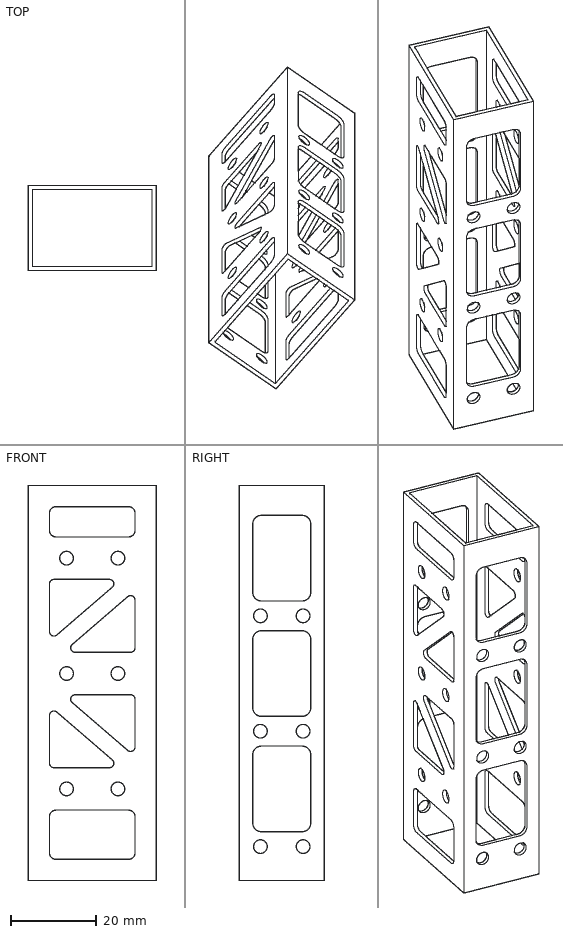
import cadquery as cq

WIDTH = 30.0
DEPTH = 20.0
HEIGHT = 92.5
WALL = 1.0

HOLE_DIAMETER = 3.1
ROW_COUNT = 3
ROW_PITCH = 27.0
FRONT_HOLE_SPACING = 12.0
SIDE_HOLE_SPACING = 10.0
SIDE_FIRST_ROW_Z = 8.0

FRONT_WINDOW_WIDTH = 20.0
EDGE_MARGIN = 5.0
ROW_MARGIN = 5.0
BOTTOM_WINDOW_HEIGHT = 11.5
TOP_WINDOW_HEIGHT = 7.0
FRONT_WINDOW_RADIUS = 1.5

TRIANGLE_LEG_X = 16.7
TRIANGLE_LEG_Z = 14.4
TRIANGLE_RADIUS = 1.0

SIDE_WINDOW_WIDTH = 13.5
SIDE_WINDOW_HEIGHT = 20.0
SIDE_WINDOW_RADIUS = 1.9

front_first_row_z = EDGE_MARGIN + BOTTOM_WINDOW_HEIGHT + ROW_MARGIN
row_offsets = [row * ROW_PITCH for row in range(ROW_COUNT)]


def front_window(bottom_z, height):
    """Rounded rectangle cutting through the front and back walls."""
    return (
        cq.Workplane("XY")
        .box(FRONT_WINDOW_WIDTH, 2 * DEPTH, height)
        .edges("|Y")
        .fillet(FRONT_WINDOW_RADIUS)
        .translate((0, 0, bottom_z + height / 2))
    )


def braced_opening(bottom_z, brace_rises_right):
    """Two rounded triangles separated by a diagonal brace, through both wide walls."""
    half_height = ROW_PITCH / 2 - ROW_MARGIN
    side = 1 if brace_rises_right else -1
    corner_x = -side * FRONT_WINDOW_WIDTH / 2
    upper_triangle = (
        cq.Workplane("XZ")
        .moveTo(corner_x, half_height)
        .lineTo(corner_x + side * TRIANGLE_LEG_X, half_height)
        .lineTo(corner_x, half_height - TRIANGLE_LEG_Z)
        .close()
        .extrude(DEPTH, both=True)
        .edges("|Y")
        .fillet(TRIANGLE_RADIUS)
    )
    lower_triangle = upper_triangle.rotate((0, 0, 0), (0, 1, 0), 180)
    return upper_triangle.union(lower_triangle).translate((0, 0, bottom_z + half_height))


def side_window(bottom_z):
    """Rounded rectangle cutting through both narrow walls."""
    return (
        cq.Workplane("XY")
        .box(2 * WIDTH, SIDE_WINDOW_WIDTH, SIDE_WINDOW_HEIGHT)
        .edges("|X")
        .fillet(SIDE_WINDOW_RADIUS)
        .translate((0, 0, bottom_z + SIDE_WINDOW_HEIGHT / 2))
    )


def hole_rows(plane, spacing, first_row_z, length):
    """Pairs of round holes, one pair per row, through two opposite walls."""
    centers = [
        (side * spacing / 2, first_row_z + offset)
        for offset in row_offsets
        for side in (-1, 1)
    ]
    return (
        cq.Workplane(plane)
        .pushPoints(centers)
        .circle(HOLE_DIAMETER / 2)
        .extrude(length, both=True)
    )


result = (
    cq.Workplane("XY")
    .rect(WIDTH, DEPTH)
    .rect(WIDTH - 2 * WALL, DEPTH - 2 * WALL)
    .extrude(HEIGHT)
)

top_window_z = front_first_row_z + row_offsets[-1] + ROW_MARGIN
result = result.cut(front_window(EDGE_MARGIN, BOTTOM_WINDOW_HEIGHT))
result = result.cut(front_window(top_window_z, TOP_WINDOW_HEIGHT))
for row, offset in enumerate(row_offsets[:-1]):
    opening_z = front_first_row_z + offset + ROW_MARGIN
    result = result.cut(braced_opening(opening_z, brace_rises_right=row % 2 == 1))
result = result.cut(hole_rows("XZ", FRONT_HOLE_SPACING, front_first_row_z, DEPTH))

side_window_gap = ROW_PITCH - SIDE_WINDOW_HEIGHT
for offset in row_offsets:
    result = result.cut(side_window(SIDE_FIRST_ROW_Z + offset + side_window_gap / 2))
result = result.cut(hole_rows("YZ", SIDE_HOLE_SPACING, SIDE_FIRST_ROW_Z, WIDTH))